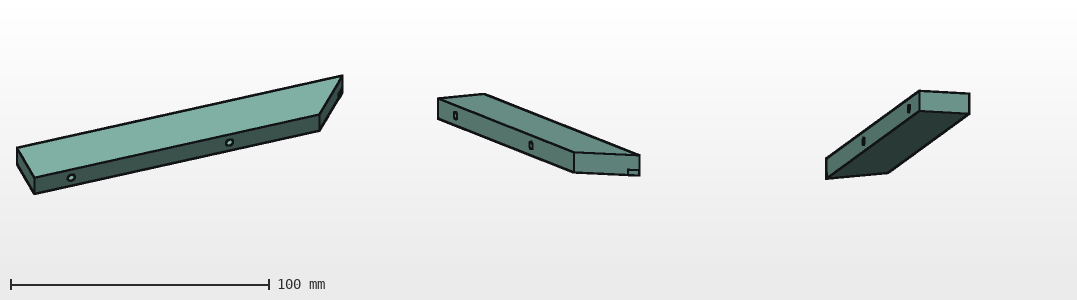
import cadquery as cq
import math

length_x = 102.6
thickness = 8.0
bar_width = 20.0
bar_angle = 40.0

pad_height = 0.1
pad_length_y = 4.3
pad_top_z = 2.2
pad_corner_gap = 0.3

hole_diameter = 2.9
first_hole_distance = 15.2
hole_spacing = 65.0

cos_a = math.cos(math.radians(bar_angle))
sin_a = math.sin(math.radians(bar_angle))
end_x = length_x - pad_height


def along_bar(start, distance):
    """Point reached from start by moving along the bar direction."""
    return (start[0] + distance * cos_a, start[1] + distance * sin_a)


lower_start = (bar_width * sin_a, 0)
upper_start = (0, bar_width * cos_a)
lower_end = along_bar(lower_start, (end_x - lower_start[0]) / cos_a)
upper_end = along_bar(upper_start, end_x / cos_a)


def make_bar():
    corners = [lower_start, lower_end, upper_end, upper_start]
    return cq.Workplane("XY").polyline(corners).close().extrude(thickness)


def make_pad():
    pad_start_y = upper_end[1] - pad_corner_gap - pad_length_y
    return (
        cq.Workplane("YZ", origin=(end_x, pad_start_y, 0))
        .rect(pad_length_y, pad_top_z, centered=False)
        .extrude(pad_height)
    )


def make_hole(distance):
    x, y = along_bar(lower_start, distance)
    hole = cq.Solid.makeCylinder(
        hole_diameter / 2,
        bar_width,
        cq.Vector(x, y, thickness / 2),
        cq.Vector(-sin_a, cos_a, 0),
    )
    return cq.Workplane(obj=hole)


result = make_bar().union(make_pad())
for hole_distance in (first_hole_distance, first_hole_distance + hole_spacing):
    result = result.cut(make_hole(hole_distance))